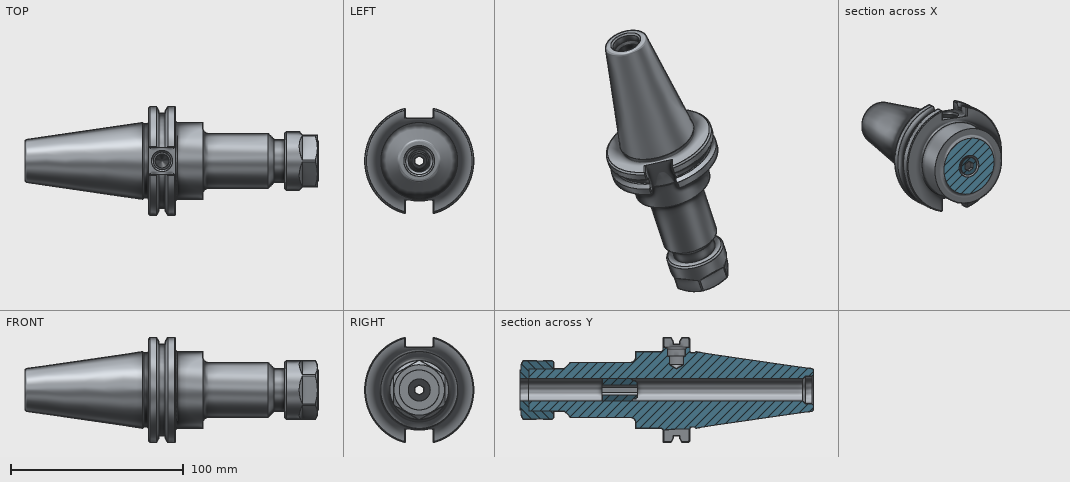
import cadquery as cq
import math

TOTAL_LENGTH = 170.0

GAUGE_X = 68.2
GAUGE_RADIUS = 22.3
TAPER_SLOPE = 7 / 48
SHANK_END_FILLET = 1.5
RELIEF_RADIUS = 21.6
RELIEF_CHAMFER = GAUGE_RADIUS - RELIEF_RADIUS
RELIEF_FILLET = 0.5

FLANGE_START_X = 71.4
FLANGE_END_X = 87.2
FLANGE_RADIUS = 31.6
FLANGE_REAR_CHAMFER = 1.0
FLANGE_FRONT_CHAMFER = 0.5
GROOVE_CENTER_X = 79.4
GROOVE_FLOOR_RADIUS = 27.7
GROOVE_FLOOR_WIDTH = 3.5
GROOVE_TOP_WIDTH = 6.6
GROOVE_FLANK_ANGLE = math.radians(30)

SLOT_WIDTH = 15.6
SLOT_CHAMFER = 0.7
SLOT_FLOOR_FILLET = 0.5
SELECTION_MARGIN = 0.08
TOP_SLOT_FLOOR = 24.8
BOTTOM_SLOT_FLOOR = 22.6

DIMPLE_RIM_DIAMETER = 12.2
DIMPLE_SEAT_DIAMETER = 10.2
DIMPLE_HOLE_DIAMETER = 8.0
DIMPLE_SEAT_DEPTH = 5.3
DIMPLE_HOLE_DEPTH = 10.2
DIMPLE_RIM_DEPTH = 1.2
DIMPLE_CONE_SLOPE = math.tan(math.radians(30))

COLLAR_RADIUS = 22.3
COLLAR_END_X = 103.0
COLLAR_FILLET = 1.0
BODY_RADIUS = 16.0
BODY_FILLET = 3.0
BODY_END_X = 140.8
NECK_RADIUS = 12.4
NECK_START_X = BODY_END_X + BODY_RADIUS - NECK_RADIUS
NECK_END_X = 164.9

BORE_RADIUS = 6.37
THREAD_RADIUS = 7.9
THREAD_END_X = 4.8
MOUTH_CHAMFER = 1.0

NUT_START_X = 150.3
NUT_RADIUS = 17.0
NUT_REAR_CHAMFER = 1.0
NUT_FACE_X = 169.5
NUT_FACE_RADIUS = 14.6
NUT_FRONT_SLOPE = math.tan(math.radians(30))
NUT_BOSS_RADIUS = 11.5
HEX_ACROSS_FLATS = 30.0
HEX_START_X = 160.6
HEX_RUN_OUT = 1.9

SCREW_START_X = 102.0
SCREW_LENGTH = 20.4
SCREW_TIP_RADIUS = 5.35
SCREW_TIP_LENGTH = 2.5
SCREW_TIP_CHAMFER = 1.0
SCREW_HEX_ACROSS_FLATS = 5.0


def turned(profile):
    """Revolve a closed (x, radius) profile drawn on the XY plane about the X axis."""
    return profile.close().revolve(360, (0, 0, 0), (1, 0, 0))


def slot_block(floor, direction):
    """Block that cuts one drive slot outward from its floor along +Z or -Z."""
    height = FLANGE_RADIUS
    return cq.Workplane("XY").box(
        FLANGE_END_X - FLANGE_START_X, SLOT_WIDTH, height
    ).translate(((FLANGE_START_X + FLANGE_END_X) / 2, 0, direction * (floor + height / 2)))


def slot_edges(low, high, direction):
    """Selector for the edges of one slot whose centers lie between two heights off the axis."""
    half_width = SLOT_WIDTH / 2 + SELECTION_MARGIN
    return cq.selectors.BoxSelector(
        (FLANGE_START_X - SELECTION_MARGIN, -half_width, direction * low),
        (FLANGE_END_X + SELECTION_MARGIN, half_width, direction * high),
    )


def make_groove():
    """Ring that cuts the groove around the flange: sloped flanks above straight walls."""
    half_floor = GROOVE_FLOOR_WIDTH / 2
    half_top = GROOVE_TOP_WIDTH / 2
    flank_depth = (half_top - half_floor) / math.tan(GROOVE_FLANK_ANGLE)
    flank_radius = FLANGE_RADIUS - flank_depth
    return turned(
        cq.Workplane("XY")
        .moveTo(GROOVE_CENTER_X - half_floor, GROOVE_FLOOR_RADIUS)
        .lineTo(GROOVE_CENTER_X + half_floor, GROOVE_FLOOR_RADIUS)
        .lineTo(GROOVE_CENTER_X + half_floor, flank_radius)
        .lineTo(GROOVE_CENTER_X + half_top, FLANGE_RADIUS)
        .lineTo(GROOVE_CENTER_X - half_top, FLANGE_RADIUS)
        .lineTo(GROOVE_CENTER_X - half_floor, flank_radius)
    )


def make_flange():
    """Flange disc with two unequal, edge-chamfered drive slots and the V groove."""
    width = FLANGE_END_X - FLANGE_START_X
    flange = (
        cq.Workplane("YZ", origin=(FLANGE_START_X, 0, 0))
        .circle(FLANGE_RADIUS)
        .extrude(width)
        .faces("<X")
        .chamfer(FLANGE_REAR_CHAMFER)
        .faces(">X")
        .chamfer(FLANGE_FRONT_CHAMFER)
    )
    for floor, direction in ((TOP_SLOT_FLOOR, 1), (BOTTOM_SLOT_FLOOR, -1)):
        flange = flange.cut(slot_block(floor, direction))
        rim_edges = slot_edges(floor + SELECTION_MARGIN, FLANGE_RADIUS, direction)
        flange = flange.edges(rim_edges).chamfer(SLOT_CHAMFER)
        floor_edges = slot_edges(floor - SELECTION_MARGIN, floor + SELECTION_MARGIN, direction)
        flange = flange.edges("|X").edges(floor_edges).fillet(SLOT_FLOOR_FILLET)
    return flange.cut(make_groove())


def make_shank():
    """Taper shank, relief neck, collar, body and threaded neck as one turned shape."""
    rear_radius = GAUGE_RADIUS - TAPER_SLOPE * GAUGE_X
    shank = turned(
        cq.Workplane("XY")
        .moveTo(0, 0)
        .lineTo(0, rear_radius)
        .lineTo(GAUGE_X, GAUGE_RADIUS)
        .lineTo(GAUGE_X + RELIEF_CHAMFER, RELIEF_RADIUS)
        .lineTo(FLANGE_START_X - RELIEF_FILLET, RELIEF_RADIUS)
        .radiusArc((FLANGE_START_X, RELIEF_RADIUS + RELIEF_FILLET), -RELIEF_FILLET)
        .lineTo(FLANGE_END_X, COLLAR_RADIUS + COLLAR_FILLET)
        .radiusArc((FLANGE_END_X + COLLAR_FILLET, COLLAR_RADIUS), -COLLAR_FILLET)
        .lineTo(COLLAR_END_X, COLLAR_RADIUS)
        .lineTo(COLLAR_END_X, BODY_RADIUS + BODY_FILLET)
        .radiusArc((COLLAR_END_X + BODY_FILLET, BODY_RADIUS), -BODY_FILLET)
        .lineTo(BODY_END_X, BODY_RADIUS)
        .lineTo(NECK_START_X, NECK_RADIUS)
        .lineTo(NECK_END_X, NECK_RADIUS)
        .lineTo(NECK_END_X, 0)
    )
    return shank.faces("<X").edges().fillet(SHANK_END_FILLET)


def make_bore():
    """Bore along the whole holder with a threaded, chamfered rear mouth."""
    return turned(
        cq.Workplane("XY")
        .moveTo(0, 0)
        .lineTo(0, THREAD_RADIUS + MOUTH_CHAMFER)
        .lineTo(MOUTH_CHAMFER, THREAD_RADIUS)
        .lineTo(THREAD_END_X, THREAD_RADIUS)
        .lineTo(THREAD_END_X + THREAD_RADIUS - BORE_RADIUS, BORE_RADIUS)
        .lineTo(NECK_END_X, BORE_RADIUS)
        .lineTo(NECK_END_X, 0)
    )


def make_dimple():
    """Countersunk, stepped blind hole in the floor of the top slot."""
    rim = DIMPLE_RIM_DIAMETER / 2
    seat = DIMPLE_SEAT_DIAMETER / 2
    hole = DIMPLE_HOLE_DIAMETER / 2
    rim_z = TOP_SLOT_FLOOR - DIMPLE_RIM_DEPTH
    seat_z = TOP_SLOT_FLOOR - DIMPLE_SEAT_DEPTH
    hole_z = TOP_SLOT_FLOOR - DIMPLE_HOLE_DEPTH
    profile = (
        cq.Workplane("XZ")
        .moveTo(0, TOP_SLOT_FLOOR)
        .lineTo(rim, TOP_SLOT_FLOOR)
        .lineTo(seat, rim_z)
        .lineTo(seat, seat_z)
        .lineTo(hole, seat_z)
        .lineTo(hole, hole_z)
        .lineTo(0, hole_z - hole * DIMPLE_CONE_SLOPE)
        .close()
    )
    dimple = profile.revolve(360, (0, 0, 0), (0, 1, 0))
    return dimple.translate((GROOVE_CENTER_X, 0, 0))


def make_holder():
    """Tool holder: shank and flange with the bore and the dimple cut out."""
    holder = make_shank().union(make_flange())
    holder = holder.cut(make_bore())
    return holder.cut(make_dimple())


def hex_flat_cutter():
    """Prism that cuts one hexagon flat, with a sloped run-out, on the +Y side."""
    flat = HEX_ACROSS_FLATS / 2
    return (
        cq.Workplane("XY")
        .moveTo(HEX_START_X, flat)
        .lineTo(HEX_START_X - HEX_RUN_OUT, NUT_RADIUS)
        .lineTo(TOTAL_LENGTH, NUT_RADIUS)
        .lineTo(TOTAL_LENGTH, flat)
        .close()
        .extrude(NUT_RADIUS, both=True)
    )


def make_nut():
    """Clamping nut that encloses the end of the holder neck."""
    nut = turned(
        cq.Workplane("XY")
        .moveTo(NUT_START_X, NECK_RADIUS)
        .lineTo(NUT_START_X, NUT_RADIUS - NUT_REAR_CHAMFER)
        .lineTo(NUT_START_X + NUT_REAR_CHAMFER, NUT_RADIUS)
        .lineTo(NUT_FACE_X - (NUT_RADIUS - NUT_FACE_RADIUS) * NUT_FRONT_SLOPE, NUT_RADIUS)
        .lineTo(NUT_FACE_X, NUT_FACE_RADIUS)
        .lineTo(NUT_FACE_X, NUT_BOSS_RADIUS)
        .lineTo(TOTAL_LENGTH, NUT_BOSS_RADIUS)
        .lineTo(TOTAL_LENGTH, BORE_RADIUS)
        .lineTo(NECK_END_X, BORE_RADIUS)
        .lineTo(NECK_END_X, NECK_RADIUS)
    )
    cutter = hex_flat_cutter()
    for side in range(6):
        nut = nut.cut(cutter.rotate((0, 0, 0), (1, 0, 0), 60 * side))
    return nut


def make_screw():
    """Hollow screw that fills the bore, with a stepped tip and a hexagon hole through it."""
    shoulder_x = SCREW_START_X + SCREW_TIP_LENGTH
    end_x = SCREW_START_X + SCREW_LENGTH
    screw = turned(
        cq.Workplane("XY")
        .moveTo(SCREW_START_X, 0)
        .lineTo(SCREW_START_X, SCREW_TIP_RADIUS - SCREW_TIP_CHAMFER)
        .lineTo(SCREW_START_X + SCREW_TIP_CHAMFER, SCREW_TIP_RADIUS)
        .lineTo(shoulder_x, SCREW_TIP_RADIUS)
        .lineTo(shoulder_x + BORE_RADIUS - SCREW_TIP_RADIUS, BORE_RADIUS)
        .lineTo(end_x, BORE_RADIUS)
        .lineTo(end_x, 0)
    )
    corner_diameter = SCREW_HEX_ACROSS_FLATS / math.cos(math.pi / 6)
    socket = (
        cq.Workplane("YZ", origin=(SCREW_START_X, 0, 0))
        .polygon(6, corner_diameter)
        .extrude(SCREW_LENGTH)
        .rotate((0, 0, 0), (1, 0, 0), 90)
    )
    return screw.cut(socket)


holder = make_holder()
nut = make_nut()
screw = make_screw()

result = cq.Compound.makeCompound([holder.val(), nut.val(), screw.val()])